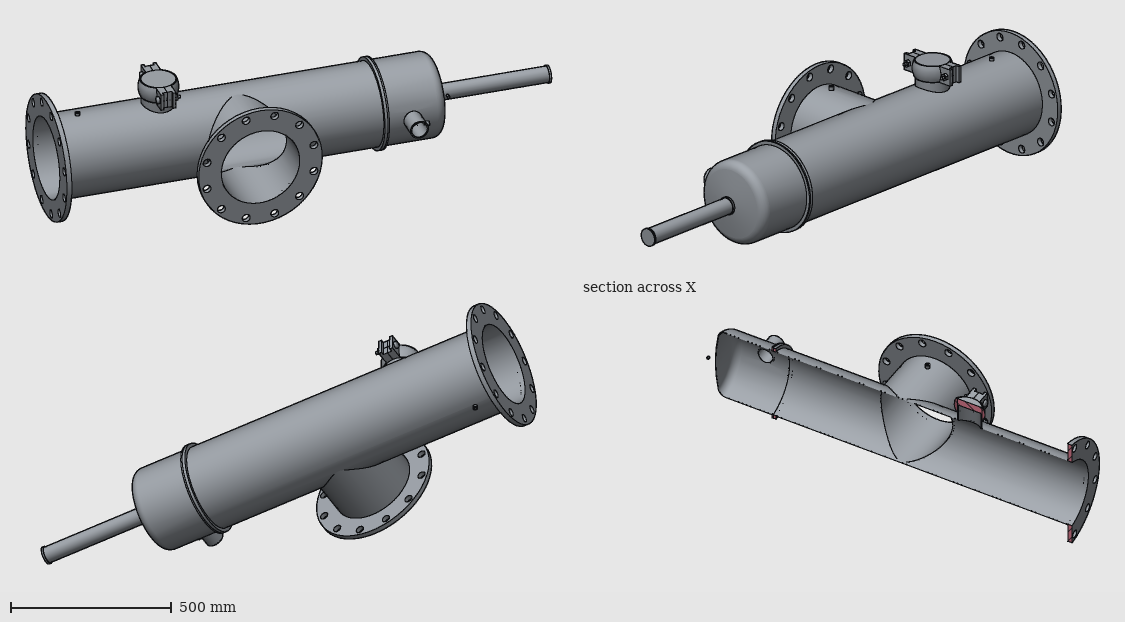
import cadquery as cq
import math

overall_length = 1648.0
overall_width = 466.0
overall_height = 420.0

pipe_radius = 137.0
pipe_wall = 4.1
bore_radius = pipe_radius - pipe_wall

flange_diameter = 405.0
flange_radius = flange_diameter / 2
flange_thickness = 16.0
bolt_circle_radius = 181.0
bolt_hole_radius = 12.7
bolt_hole_count = 12

branch_y = 615.0
branch_diameter = 265.0
branch_radius = branch_diameter / 2
branch_end_x = overall_width - flange_radius

boss_radius = 7.4
boss_hole_radius = 3.0
drain_boss_height = 8.0
side_boss_height = 12.0
drain_boss_y = 102.0
branch_boss_x = 200.0

joint_y = 1071.0
joint_radius = 148.0
housing_rim_thickness = 10.0
cover_rim_thickness = 5.0

dish_start_y = 1240.0
knuckle_radius = 30.0
crown_radius = 593.0
nozzle_y = 1157.0
nozzle_radius = 30.0
nozzle_end_x = 201.0
nozzle_boss_x = 171.0

port_y = 367.0
port_radius = 55.0
port_top_z = overall_height - flange_radius
clamp_height = 55.0
clamp_edge_radius = 58.0
clamp_mid_radius = 65.0
clamp_mid_z = port_top_z - clamp_height / 2
ear_end_x = 99.0
ear_half_width = 25.0
ear_notch_x = 87.0
ear_notch_half_width = 15.0

clamp_bolt_x = 80.0
clamp_bolt_radius = 5.0
clamp_bolt_overhang = 20.0
bolt_head_radius = 12.0
bolt_head_height = 8.0
nut_width = 20.0
nut_height = 10.0

actuator_start_y = 1287.0
actuator_tube_radius = 26.0
end_plate_diameter = 58.0
end_plate_radius = end_plate_diameter / 2
end_plate_thickness = 7.0
rod_radius = 15.0
rod_end_y = 1265.0
rod_hole_radius = 10.0
rod_hole_depth = 16.0
air_fitting_radius = 4.1
air_fitting_end_x = 38.0
air_fitting_y = 1307.0


def rod(radius, start, end):
    """Solid cylinder between two points."""
    axis = cq.Vector(*end) - cq.Vector(*start)
    return cq.Workplane(cq.Solid.makeCylinder(radius, axis.Length, cq.Vector(*start), axis))


def bolt_hole_ring(start, end):
    """Cutters for the flange bolt holes, around the axis from start to end."""
    origin = cq.Vector(*start)
    axis = cq.Vector(*end) - origin
    plane = cq.Plane(origin=origin, xDir=(0, 0, 1), normal=axis)
    half_pitch = 180 / bolt_hole_count
    return (
        cq.Workplane(plane)
        .polarArray(bolt_circle_radius, half_pitch, 360, bolt_hole_count)
        .circle(bolt_hole_radius)
        .extrude(axis.Length)
    )


def flange(start, end):
    """Drilled flange disc from start to end; its bore is cut together with the pipe."""
    return rod(flange_radius, start, end).cut(bolt_hole_ring(start, end))


def make_housing():
    boss_top = pipe_radius + drain_boss_height
    branch_boss_top = branch_radius + side_boss_height

    body = rod(pipe_radius, (0, 0, 0), (0, joint_y, 0))
    body = body.union(flange((0, 0, 0), (0, flange_thickness, 0)))
    body = body.union(rod(joint_radius, (0, joint_y - housing_rim_thickness, 0), (0, joint_y, 0)))
    body = body.union(rod(branch_radius, (0, branch_y, 0), (branch_end_x, branch_y, 0)))
    body = body.union(
        flange((branch_end_x - flange_thickness, branch_y, 0), (branch_end_x, branch_y, 0))
    )
    body = body.union(rod(port_radius, (0, port_y, 0), (0, port_y, clamp_mid_z)))
    body = body.union(rod(boss_radius, (0, drain_boss_y, -boss_top), (0, drain_boss_y, boss_top)))
    body = body.union(
        rod(boss_radius, (branch_boss_x, branch_y, 0), (branch_boss_x, branch_y, branch_boss_top))
    )

    body = body.cut(rod(bore_radius, (0, 0, 0), (0, joint_y, 0)))
    body = body.cut(rod(branch_radius - pipe_wall, (0, branch_y, 0), (branch_end_x, branch_y, 0)))
    body = body.cut(rod(port_radius - pipe_wall, (0, port_y, 0), (0, port_y, clamp_mid_z)))
    body = body.cut(
        rod(boss_hole_radius, (0, drain_boss_y, -boss_top), (0, drain_boss_y, boss_top))
    )
    return body.cut(
        rod(boss_hole_radius, (branch_boss_x, branch_y, 0), (branch_boss_x, branch_y, branch_boss_top))
    )


def dished_body(radius, knuckle, crown):
    """Solid of revolution about Y: straight wall, knuckle arc and shallow crown arc."""
    knuckle_x = radius - knuckle
    tilt = math.asin(knuckle_x / (crown - knuckle))
    crown_center_y = dish_start_y - (crown - knuckle) * math.cos(tilt)
    knuckle_mid = math.pi / 4 - tilt / 2

    def on_crown(angle):
        return (crown * math.sin(angle), crown_center_y + crown * math.cos(angle))

    return (
        cq.Workplane("XY")
        .moveTo(0, joint_y)
        .lineTo(radius, joint_y)
        .lineTo(radius, dish_start_y)
        .threePointArc(
            (
                knuckle_x + knuckle * math.cos(knuckle_mid),
                dish_start_y + knuckle * math.sin(knuckle_mid),
            ),
            on_crown(tilt),
        )
        .threePointArc(on_crown(tilt / 2), on_crown(0))
        .close()
        .revolve(360, (0, 0, 0), (0, 1, 0))
    )


def make_cover():
    nozzle_boss_top = nozzle_y + nozzle_radius + side_boss_height
    boss_start = (nozzle_boss_x, nozzle_y, 0)
    boss_end = (nozzle_boss_x, nozzle_boss_top, 0)

    body = dished_body(pipe_radius, knuckle_radius, crown_radius)
    body = body.union(rod(joint_radius, (0, joint_y, 0), (0, joint_y + cover_rim_thickness, 0)))
    body = body.union(rod(nozzle_radius, (0, nozzle_y, 0), (nozzle_end_x, nozzle_y, 0)))
    body = body.union(rod(boss_radius, boss_start, boss_end))
    body = body.cut(dished_body(bore_radius, knuckle_radius - pipe_wall, crown_radius - pipe_wall))
    body = body.cut(rod(nozzle_radius - pipe_wall, (0, nozzle_y, 0), (nozzle_end_x, nozzle_y, 0)))
    body = body.cut(rod(boss_hole_radius, boss_start, boss_end))
    return body.cut(rod(rod_radius, (0, joint_y, 0), (0, actuator_start_y, 0)))


def make_actuator():
    plate_end_y = actuator_start_y + end_plate_thickness
    body = rod(actuator_tube_radius, (0, actuator_start_y, 0), (0, overall_length, 0))
    body = body.union(rod(end_plate_radius, (0, actuator_start_y, 0), (0, plate_end_y, 0)))
    body = body.union(
        rod(end_plate_radius, (0, overall_length - end_plate_thickness, 0), (0, overall_length, 0))
    )
    body = body.union(rod(rod_radius, (0, rod_end_y, 0), (0, actuator_start_y, 0)))
    body = body.union(
        rod(air_fitting_radius, (0, air_fitting_y, 0), (air_fitting_end_x, air_fitting_y, 0))
    )
    return body.cut(rod(rod_hole_radius, (0, rod_end_y, 0), (0, rod_end_y + rod_hole_depth, 0)))


def make_port_plug():
    return rod(port_radius, (0, port_y, clamp_mid_z), (0, port_y, port_top_z))


def make_clamp_half(side):
    """Barrel-shaped clamp half with bolt ears, on the +Y (side = 1) or -Y (side = -1) side."""
    bottom_z = port_top_z - clamp_height
    ring = (
        cq.Workplane("XZ")
        .moveTo(0, bottom_z)
        .lineTo(clamp_edge_radius, bottom_z)
        .threePointArc((clamp_mid_radius, clamp_mid_z), (clamp_edge_radius, port_top_z))
        .lineTo(0, port_top_z)
        .close()
        .revolve(360, (0, 0, 0), (0, 1, 0))
    )
    ears = cq.Workplane("XY").box(2 * ear_end_x, 2 * ear_half_width, clamp_height)
    notches = (
        cq.Workplane("XY")
        .box(2 * ear_end_x, 2 * ear_notch_half_width, clamp_height)
        .cut(cq.Workplane("XY").box(2 * ear_notch_x, 2 * ear_notch_half_width, clamp_height))
    )
    body = ring.union(ears.cut(notches).translate((0, 0, clamp_mid_z)))
    body = body.cut(rod(port_radius, (0, 0, bottom_z), (0, 0, port_top_z)))
    for x in (-clamp_bolt_x, clamp_bolt_x):
        body = body.cut(
            rod(clamp_bolt_radius, (x, -ear_half_width, clamp_mid_z), (x, ear_half_width, clamp_mid_z))
        )
    half_space = (
        cq.Workplane("XY")
        .box(2 * ear_end_x, ear_end_x, clamp_height)
        .translate((0, side * ear_end_x / 2, clamp_mid_z))
    )
    return body.intersect(half_space).translate((0, port_y, 0))


def make_clamp_bolt(x):
    head_start_y = port_y - ear_half_width
    end_y = port_y + ear_half_width + clamp_bolt_overhang
    head = rod(
        bolt_head_radius, (x, head_start_y - bolt_head_height, clamp_mid_z), (x, head_start_y, clamp_mid_z)
    )
    head = head.faces("<Y").edges().fillet(bolt_head_height / 2)
    return head.union(rod(clamp_bolt_radius, (x, head_start_y, clamp_mid_z), (x, end_y, clamp_mid_z)))


def make_clamp_nut(x):
    start_y = port_y + ear_half_width
    corner_diameter = nut_width / math.cos(math.pi / 6)
    return (
        cq.Workplane(cq.Plane(origin=(x, start_y, clamp_mid_z), xDir=(0, 0, 1), normal=(0, 1, 0)))
        .polygon(6, corner_diameter)
        .circle(clamp_bolt_radius)
        .extrude(nut_height)
    )


housing = make_housing()
cover = make_cover()
actuator = make_actuator()
port_plug = make_port_plug()
clamp_halves = [make_clamp_half(side) for side in (-1, 1)]
clamp_bolts = [make_clamp_bolt(x) for x in (-clamp_bolt_x, clamp_bolt_x)]
clamp_nuts = [make_clamp_nut(x) for x in (-clamp_bolt_x, clamp_bolt_x)]

bodies = [housing, cover, actuator, port_plug, *clamp_halves, *clamp_bolts, *clamp_nuts]
result = cq.Compound.makeCompound([body.solids().val() for body in bodies])